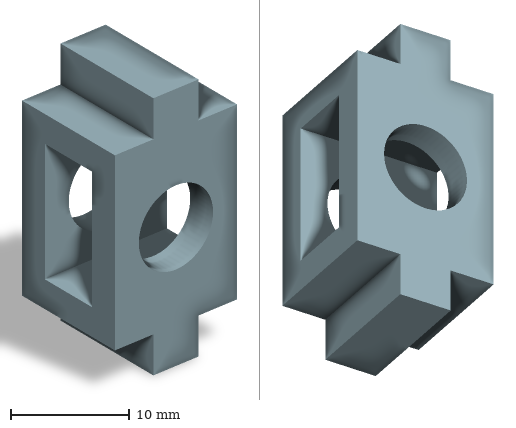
import cadquery as cq

width = 12.2
depth = 13.5
height = 27.0

tongue_height = 4.0
tongue_thickness = 5.0
body_height = height - 2 * tongue_height

window_width = 6.2
window_height = 13.2
bore_diameter = 8.2

body = cq.Workplane("XY").box(width, depth, body_height)
tongues = cq.Workplane("XY").box(width, tongue_thickness, height)

window = cq.Workplane("XY").box(window_width, depth, window_height)

bore = cq.Workplane("YZ").circle(bore_diameter / 2).extrude(width / 2, both=True)

result = body.union(tongues).cut(window).cut(bore)